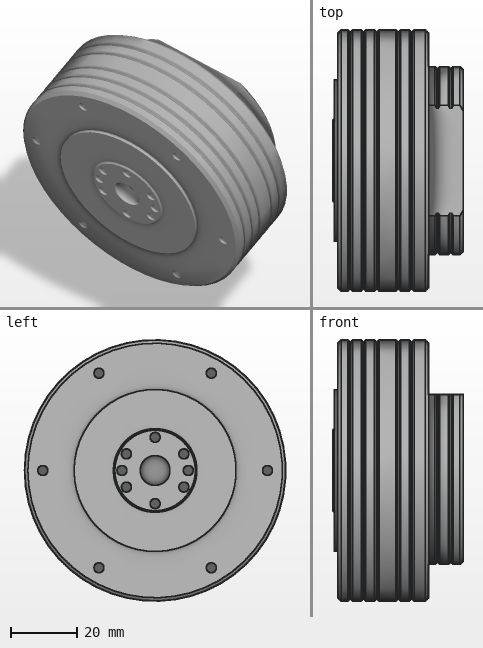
import cadquery as cq
import math


body_start = 1.5
body_end = 29.0
body_diameter = 79.0
edge_chamfer = 1.0

ring_start = 0.5
ring_diameter = 49.0
boss_diameter = 25.3
boss_chamfer = ring_start

hub_end = 39.5
hub_diameter = 56.9
hub_flat_height = 23.0

groove_depth = 0.51
groove_floor_width = 0.5
groove_pitch = 4.0
body_groove_start = body_start + 3.8
rear_groove_start = body_start + 18.3
body_grooves = [body_groove_start + i * groove_pitch for i in range(3)]
body_grooves += [rear_groove_start + i * groove_pitch for i in range(2)]
hub_groove_start = body_end + 2.7
hub_grooves = [hub_groove_start + i * groove_pitch for i in range(2)]

bore_diameter = 9.0
bore_depth = 5.0
hole_diameter = 3.0
hole_depth = 6.0
boss_hole_radius = 10.0
boss_hole_angles = [0, 30, 90, 150, 180, 210, 270, 330]
body_hole_radius = 34.0
body_hole_angles = range(0, 360, 60)


def disc(diameter, start, end):
    """Solid cylinder along X between two stations."""
    return cq.Workplane("YZ", origin=(start, 0, 0)).circle(diameter / 2).extrude(end - start)


def groove(diameter, center):
    """Ring-shaped cutter with 45 degree sides for a groove in a cylinder."""
    radius = diameter / 2
    half_floor = groove_floor_width / 2
    half_outer = half_floor + 2 * groove_depth
    profile = [
        (center - half_floor, radius - groove_depth),
        (center + half_floor, radius - groove_depth),
        (center + half_outer, radius + groove_depth),
        (center - half_outer, radius + groove_depth),
    ]
    return cq.Workplane("XY").polyline(profile).close().revolve(360, (0, 0, 0), (1, 0, 0))


def hole_circle(radius, angles, start):
    """Cutters for blind holes placed around the X axis."""
    centers = [
        (radius * math.cos(math.radians(angle)), radius * math.sin(math.radians(angle)))
        for angle in angles
    ]
    plane = cq.Workplane("YZ", origin=(start, 0, 0))
    return plane.pushPoints(centers).circle(hole_diameter / 2).extrude(hole_depth)


def make_body():
    body = disc(body_diameter, body_start, body_end).edges().chamfer(edge_chamfer)
    for center in body_grooves:
        body = body.cut(groove(body_diameter, center))
    return body


def make_hub():
    hub = disc(hub_diameter, body_end, hub_end).faces(">X").edges().chamfer(edge_chamfer)
    for center in hub_grooves:
        hub = hub.cut(groove(hub_diameter, center))
    above_flat = cq.Workplane("XY").box(
        hub_end - body_end, hub_diameter, hub_diameter, centered=(False, True, False)
    ).translate((body_end, 0, hub_flat_height))
    return hub.cut(above_flat)


def make_front_steps():
    ring = disc(ring_diameter, ring_start, body_start)
    boss = disc(boss_diameter, 0, body_start).faces("<X").edges().chamfer(boss_chamfer)
    return ring.union(boss)


result = make_body().union(make_hub()).union(make_front_steps())
result = result.cut(disc(bore_diameter, 0, bore_depth))
result = result.cut(hole_circle(boss_hole_radius, boss_hole_angles, 0))
result = result.cut(hole_circle(body_hole_radius, body_hole_angles, body_start))